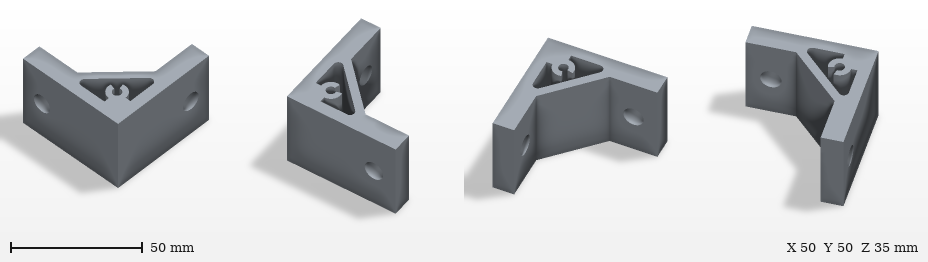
import cadquery as cq
import math

side = 50.0
height = 35.0
leg_thickness = 9.0
free_length = 20.0
web_thickness = 3.5
pocket_wall = 5.0
pocket_fillet = 2.0
clip_offset = 12.0
clip_outer_radius = 4.5
clip_inner_radius = 2.0
clip_opening = 60.0
bolt_diameter = 8.5
bolt_offset = 10.0

inner_x = side - leg_thickness
web_end_y = side - free_length
pocket_x = side - pocket_wall
clip_x = side - clip_offset
pocket_leg = (
    web_end_y + leg_thickness - web_thickness * math.sqrt(2) - 2 * pocket_wall
)


def make_body():
    """Two legs joined by a solid triangular corner."""
    outline = [
        (0, 0),
        (side, 0),
        (side, side),
        (inner_x, side),
        (inner_x, web_end_y),
        (free_length, leg_thickness),
        (0, leg_thickness),
    ]
    return cq.Workplane("XY").polyline(outline).close().extrude(height)


def make_pocket():
    """Triangular through pocket with rounded ends along the web."""
    corners = [
        (pocket_x, pocket_wall),
        (pocket_x, pocket_wall + pocket_leg),
        (pocket_x - pocket_leg, pocket_wall),
    ]
    pocket = cq.Workplane("XY").polyline(corners).close().extrude(height)
    return pocket.edges("|Z").edges("<X or >Y").fillet(pocket_fillet)


def clip_point(radius, angle):
    """Point on a circle around the clip axis, at an angle in degrees."""
    turn = math.radians(angle)
    return (clip_x + radius * math.cos(turn), clip_offset + radius * math.sin(turn))


def make_clip():
    """Open ring on a square block that ties it into the bracket corner."""
    block_size = clip_offset - pocket_wall
    block = (
        cq.Workplane("XY")
        .moveTo(clip_x, pocket_wall)
        .rect(block_size, block_size, centered=False)
        .extrude(height)
    )
    ring = (
        cq.Workplane("XY").center(clip_x, clip_offset)
        .circle(clip_outer_radius).extrude(height)
    )
    bore = (
        cq.Workplane("XY").center(clip_x, clip_offset)
        .circle(clip_inner_radius).extrude(height)
    )
    opening_middle = 135.0
    opening_reach = 2 * clip_outer_radius
    opening = (
        cq.Workplane("XY")
        .polyline([
            (clip_x, clip_offset),
            clip_point(opening_reach, opening_middle - clip_opening / 2),
            clip_point(opening_reach, opening_middle + clip_opening / 2),
        ])
        .close()
        .extrude(height)
    )
    return block.union(ring).cut(bore).cut(opening)


def make_bolt_holes():
    """One through hole in each leg, at mid height."""
    x_leg_hole = (
        cq.Workplane("XZ").center(bolt_offset, height / 2)
        .circle(bolt_diameter / 2).extrude(-leg_thickness)
    )
    y_leg_hole = (
        cq.Workplane("YZ", origin=(inner_x, 0, 0)).center(side - bolt_offset, height / 2)
        .circle(bolt_diameter / 2).extrude(leg_thickness)
    )
    return x_leg_hole.union(y_leg_hole)


result = make_body().cut(make_pocket()).union(make_clip()).cut(make_bolt_holes())